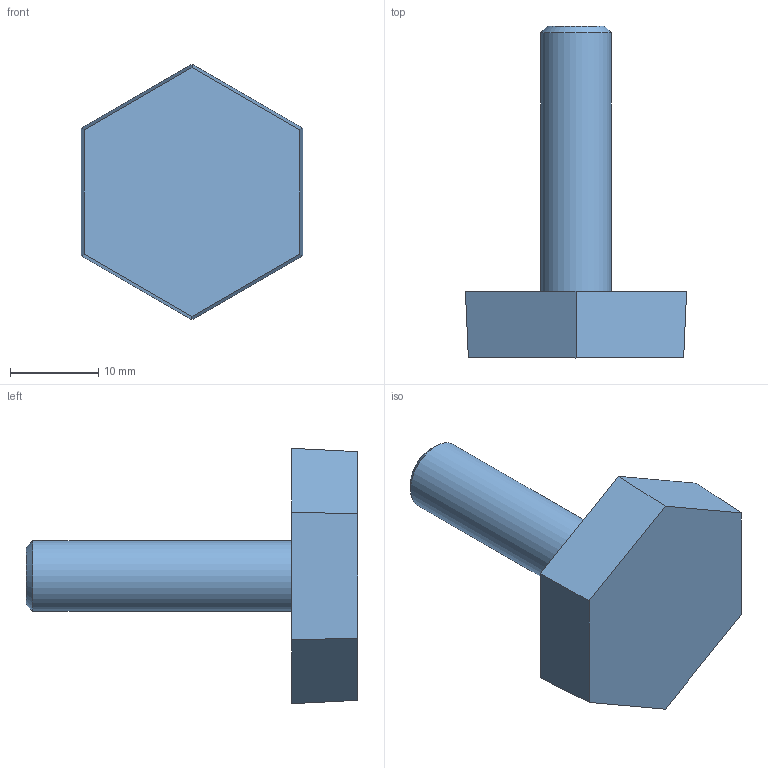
import cadquery as cq
import math

head_across_flats = 25.0
head_thickness = 7.5
head_draft_angle = 2.5

shank_diameter = 8.0
shank_length = 30.0
tip_chamfer = 0.767

head_across_corners = head_across_flats / math.cos(math.radians(30))


def make_head():
    """Drafted hexagon from Y = 0 toward -Y, with two corners on the Z axis."""
    return (
        cq.Workplane("XZ")
        .transformed(rotate=(0, 0, 90))
        .polygon(6, head_across_corners)
        .extrude(head_thickness, taper=head_draft_angle)
    )


def make_shank():
    """Round shank from Y = 0 toward +Y, chamfered at the tip."""
    return (
        cq.Workplane("XZ")
        .circle(shank_diameter / 2)
        .extrude(-shank_length)
        .faces(">Y")
        .chamfer(tip_chamfer)
    )


result = make_head().union(make_shank())